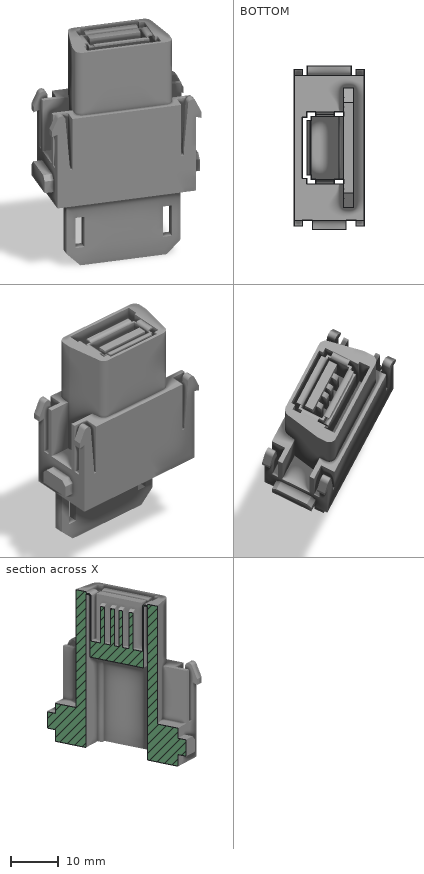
import cadquery as cq
import math


OVERALL_Y = 34.2
OVERALL_Z = 49.4

BODY_X = 14.65
BODY_Y = 30.3
BODY_Z = 20.15
RECESS_FLOOR_Z = 8.5
CHANNEL_X = 6.4
POCKET_X = 3.1
POCKET_Y = 3.25

HOOK_X = 1.8
HOOK_TIP_Y = 16.35
HOOK_TIP_TOP_Z = 17.85
HOOK_TIP_LOW_Z = 16.55
HOOK_CATCH_Z = 16.95
HOOK_HEAD_Y = 14.3
HOOK_HEAD_R = 0.9
HOOK_ROOT_Y = 12.45
HOOK_ROOT_Z = 9.45

PEG_LOW_Z = 2.55
PEG_TOP_Z = 6.25
PEG_CHAMFER = 1.05
FRONT_PEG_X = 9.2
BACK_PEG_X = 7.05

HOOD_TOP_Z = 34.55
HOOD_X = 12.45
HOOD_Y = 21.15
HOOD_NARROW_Y = 17.7
HOOD_SLOPE_END_X = 2.75
HOOD_CORNER_R = 1.55

BOARD_FACE_X = 3.0
OPENING_MIN_X = -4.7
OPENING_Y = 15.0
RELIEF_MIN_X = -5.6
RELIEF_Y = 12.75
BOARD_SLOT_MAX_X = 5.5
BOARD_SLOT_Y = 16.15

SHELL_MIN_X = -3.8
SHELL_MAX_X = 2.05
SHELL_Y = 13.15
SHELL_WALL_X = 0.45
SHELL_WALL_Y = 0.35
SHELL_DEPTH = 9.9
SEAT_Z = 29.65
SEAT_STEP_Y = 0.35
SEAT_STEP_Z = 1.0

LIP_TOP_Z = 34.25
LIP_BEND_REACH = 0.7
LIP_BEND_DROP = 0.5
LIP_SHEET = 0.35
SHELL_TOP_Z = LIP_TOP_Z - LIP_BEND_DROP
SIDE_LIP_LENGTH = 11.4
END_LIP_LENGTH = 3.9
SIDE_LIP_REACH = 1.35

BAR_MIN_X = -2.75
BAR_X = 1.85
BAR_Y = 11.05
BAR_TOP_Z = 34.1
CONTACT_X = 1.2
CONTACT_Y = 1.1
CONTACT_DROP = 0.7
CONTACT_TOP_Z = 32.35
CONTACT_OUTER_Y = 3.5
CONTACT_INNER_Y = 1.0

TONGUE_X = 2.07
TONGUE_Y = 24.9
TONGUE_Z = OVERALL_Z - HOOD_TOP_Z
TONGUE_CHAMFER = 3.0
TONGUE_SLOT_Y = 2.0
TONGUE_SLOT_CENTRE_Y = 9.55
TONGUE_SLOT_TOP_Z = -3.8
TONGUE_SLOT_LOW_Z = -10.75


def block(x0, x1, y0, y1, z0, z1):
    """Box between opposite corner coordinates."""
    return cq.Workplane("XY").box(x1 - x0, y1 - y0, z1 - z0, centered=False).translate((x0, y0, z0))


def centred_block(x0, x1, width_y, z0, z1):
    """Box that is symmetric about the XZ plane."""
    return block(x0, x1, -width_y / 2, width_y / 2, z0, z1)


def both_ends(solid):
    """Solid joined with its mirror image across the XZ plane."""
    return solid.union(solid.mirror("XZ"))


def four_corners(solid):
    """Solid repeated in all four corners of the body."""
    pair = both_ends(solid)
    return pair.union(pair.mirror("YZ"))


def make_body():
    body = centred_block(-BODY_X / 2, BODY_X / 2, BODY_Y, 0, BODY_Z)
    pocket = block(
        BODY_X / 2 - POCKET_X, BODY_X / 2, BODY_Y / 2 - POCKET_Y, BODY_Y / 2, RECESS_FLOOR_Z, BODY_Z
    )
    channel = centred_block(-CHANNEL_X / 2, CHANNEL_X / 2, BODY_Y, RECESS_FLOOR_Z, BODY_Z)
    return body.cut(four_corners(pocket)).cut(channel).union(four_corners(make_hook()))


def make_hook():
    dy = HOOK_TIP_Y - HOOK_HEAD_Y
    dz = HOOK_TIP_TOP_Z - BODY_Z
    tangent_angle = math.atan2(dz, dy) + math.acos(HOOK_HEAD_R / math.hypot(dy, dz))
    tangent_point = (
        HOOK_HEAD_Y + HOOK_HEAD_R * math.cos(tangent_angle),
        BODY_Z + HOOK_HEAD_R * math.sin(tangent_angle),
    )
    return (
        cq.Workplane("YZ", origin=(BODY_X / 2 - HOOK_X, 0, 0))
        .moveTo(BODY_Y / 2, RECESS_FLOOR_Z)
        .lineTo(BODY_Y / 2, HOOK_CATCH_Z)
        .lineTo(HOOK_TIP_Y, HOOK_TIP_LOW_Z)
        .lineTo(HOOK_TIP_Y, HOOK_TIP_TOP_Z)
        .lineTo(*tangent_point)
        .threePointArc((HOOK_HEAD_Y, BODY_Z + HOOK_HEAD_R), (HOOK_HEAD_Y - HOOK_HEAD_R, BODY_Z))
        .lineTo(HOOK_ROOT_Y, HOOK_ROOT_Z)
        .lineTo(HOOK_ROOT_Y, RECESS_FLOOR_Z)
        .close()
        .extrude(HOOK_X)
    )


def make_peg(width_x, end):
    """Keying peg on the -Y (end = -1) or +Y (end = 1) face."""
    inner_y = end * BODY_Y / 2
    outer_y = end * OVERALL_Y / 2
    peg = block(
        -width_x / 2, width_x / 2, min(inner_y, outer_y), max(inner_y, outer_y), PEG_LOW_Z, PEG_TOP_Z
    )
    return peg.faces(">Z").edges("|Y").chamfer(PEG_CHAMFER)


def make_hood():
    hood = (
        cq.Workplane("XY", origin=(0, 0, RECESS_FLOOR_Z))
        .polyline([
            (-HOOD_X / 2, -HOOD_NARROW_Y / 2),
            (HOOD_SLOPE_END_X, -HOOD_Y / 2),
            (HOOD_X / 2, -HOOD_Y / 2),
            (HOOD_X / 2, HOOD_Y / 2),
            (HOOD_SLOPE_END_X, HOOD_Y / 2),
            (-HOOD_X / 2, HOOD_NARROW_Y / 2),
        ])
        .close()
        .extrude(HOOD_TOP_Z - RECESS_FLOOR_Z)
    )
    return hood.edges("|Z and (<X or >X)").fillet(HOOD_CORNER_R)


def make_opening():
    opening = centred_block(OPENING_MIN_X, BOARD_FACE_X, OPENING_Y, 0, HOOD_TOP_Z)
    relief = centred_block(RELIEF_MIN_X, OPENING_MIN_X, RELIEF_Y, 0, HOOD_TOP_Z)
    board_slot = centred_block(BOARD_FACE_X, BOARD_SLOT_MAX_X, BOARD_SLOT_Y, BODY_Z, HOOD_TOP_Z)
    return opening.union(relief).union(board_slot)


def make_lip(reach, length, wall, angle):
    """Lip rolled outwards from a wall; angle turns its outward side from +X about Z."""
    return (
        cq.Workplane("XZ")
        .moveTo(wall, SHELL_TOP_Z)
        .lineTo(LIP_BEND_REACH, LIP_TOP_Z - LIP_SHEET)
        .lineTo(reach, LIP_TOP_Z - LIP_SHEET)
        .lineTo(reach, LIP_TOP_Z)
        .lineTo(LIP_BEND_REACH, LIP_TOP_Z)
        .tangentArcPoint((0, SHELL_TOP_Z), relative=False)
        .close()
        .extrude(length / 2, both=True)
        .rotate((0, 0, 0), (0, 0, 1), angle)
    )


def make_socket():
    floor_z = SHELL_TOP_Z - SHELL_DEPTH
    inner_min_x = SHELL_MIN_X + SHELL_WALL_X
    inner_max_x = SHELL_MAX_X - SHELL_WALL_X
    inner_y = SHELL_Y - 2 * SHELL_WALL_Y
    centre_x = (SHELL_MIN_X + SHELL_MAX_X) / 2
    end_lip_reach = (OPENING_Y - inner_y) / 2

    socket = centred_block(SHELL_MIN_X, SHELL_MAX_X, SHELL_Y, BODY_Z, SHELL_TOP_Z)
    socket = socket.cut(centred_block(inner_min_x, inner_max_x, inner_y, floor_z, SHELL_TOP_Z))

    seat_step_width = SHELL_Y - 2 * SEAT_STEP_Y
    socket = socket.union(centred_block(SHELL_MAX_X, BOARD_FACE_X, SHELL_Y, RECESS_FLOOR_Z, SEAT_Z))
    socket = socket.union(
        centred_block(SHELL_MAX_X, BOARD_FACE_X, seat_step_width, SEAT_Z, SEAT_Z + SEAT_STEP_Z)
    )

    side_lip = make_lip(SIDE_LIP_REACH, SIDE_LIP_LENGTH, SHELL_WALL_X, 0)
    socket = socket.union(side_lip.translate((inner_max_x, 0, 0)))
    socket = socket.union(side_lip.mirror("YZ").translate((inner_min_x, 0, 0)))
    end_lip = make_lip(end_lip_reach, END_LIP_LENGTH, SHELL_WALL_Y, 90)
    socket = socket.union(both_ends(end_lip.translate((centre_x, inner_y / 2, 0))))

    bar = centred_block(BAR_MIN_X, BAR_MIN_X + BAR_X, BAR_Y, floor_z, BAR_TOP_Z)
    return socket.union(bar).union(make_contacts(floor_z))


def make_contacts(floor_z):
    """Four contacts on the +X side of the bar, each with a domed top that falls outwards."""
    bar_face_x = BAR_MIN_X + BAR_X
    outer_x = bar_face_x + CONTACT_X
    contact = (
        cq.Workplane("XZ")
        .moveTo(bar_face_x, floor_z)
        .lineTo(bar_face_x, CONTACT_TOP_Z)
        .threePointArc(
            (bar_face_x + CONTACT_X / 2, CONTACT_TOP_Z - CONTACT_DROP / 4),
            (outer_x, CONTACT_TOP_Z - CONTACT_DROP),
        )
        .lineTo(outer_x, floor_z)
        .close()
        .extrude(CONTACT_Y / 2, both=True)
    )
    outer_pair = both_ends(contact.translate((0, CONTACT_OUTER_Y, 0)))
    return outer_pair.union(both_ends(contact.translate((0, CONTACT_INNER_Y, 0))))


def make_tongue():
    tongue = centred_block(BOARD_FACE_X, BOARD_FACE_X + TONGUE_X, TONGUE_Y, -TONGUE_Z, 0)
    tongue = tongue.faces("<Z").edges("|X").chamfer(TONGUE_CHAMFER)
    slot = centred_block(
        BOARD_FACE_X, BOARD_FACE_X + TONGUE_X, TONGUE_SLOT_Y, TONGUE_SLOT_LOW_Z, TONGUE_SLOT_TOP_Z
    )
    return tongue.cut(both_ends(slot.translate((0, TONGUE_SLOT_CENTRE_Y, 0))))


result = (
    make_body()
    .union(make_hood())
    .cut(make_opening())
    .union(make_socket())
    .union(make_peg(FRONT_PEG_X, -1))
    .union(make_peg(BACK_PEG_X, 1))
    .union(make_tongue())
    .solids()
)